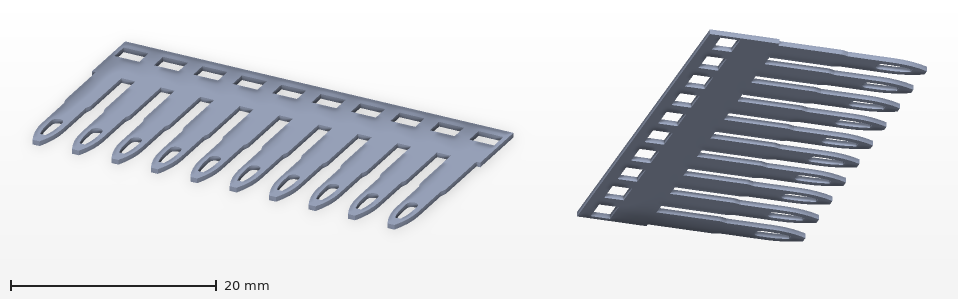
import cadquery as cq

strip_length = 42.4
overall_depth = 22.6
thickness = 0.5
strip_width = 7.1

pin_count = 10
end_margin = 1.82
pitch = (strip_length - 2 * end_margin) / (pin_count - 1)
pin_axes = [end_margin + i * pitch for i in range(pin_count)]

shank_width = 2.8
neck_width = 2.37
tip_width = 0.75
shoulder_start = 13.65
shoulder_end = 14.3
shoulder_radius = 0.85
nose_start = 19.05

eye_width = 1.2
eye_top = 17.5
eye_taper_start = nose_start
eye_bottom = 21.15
eye_bottom_width = 0.6

window_width = 2.7
window_height = 2.0
window_top = 1.25


def taper(outline, top_half_width, top_depth, end_half_width, end_depth):
    """Add both curved sides, tangent to the vertical at the top, and the flat end between them."""
    length = end_depth - top_depth
    inset = top_half_width - end_half_width
    side_radius = (length**2 + inset**2) / (2 * inset)
    return (
        outline.lineTo(-top_half_width, -top_depth)
        .radiusArc((-end_half_width, -end_depth), -side_radius)
        .lineTo(end_half_width, -end_depth)
        .radiusArc((top_half_width, -top_depth), -side_radius)
    )


def make_strip():
    return cq.Workplane("XY").rect(strip_length, -strip_width, centered=False).extrude(thickness)


def make_pin(axis):
    root = strip_width - thickness
    outline = (
        cq.Workplane("XY")
        .moveTo(-shank_width / 2, -root)
        .lineTo(-shank_width / 2, -shoulder_start)
        .lineTo(-neck_width / 2, -shoulder_end)
    )
    outline = taper(outline, neck_width / 2, nose_start, tip_width / 2, overall_depth)
    pin = (
        outline.lineTo(neck_width / 2, -shoulder_end)
        .lineTo(shank_width / 2, -shoulder_start)
        .lineTo(shank_width / 2, -root)
        .close()
        .extrude(thickness)
    )
    shoulder_middle = (shoulder_start + shoulder_end) / 2
    shoulder_corners = cq.selectors.BoxSelector(
        (-strip_length, -shoulder_middle, 0), (strip_length, -strip_width, thickness)
    )
    pin = pin.edges("|Z").edges(shoulder_corners).fillet(shoulder_radius)
    return pin.translate((axis, 0, 0))


def make_eye(axis):
    top_arc_end = eye_top + eye_width / 2
    outline = cq.Workplane("XY", origin=(axis, 0, 0)).moveTo(-eye_width / 2, -top_arc_end)
    outline = taper(outline, eye_width / 2, eye_taper_start, eye_bottom_width / 2, eye_bottom)
    return (
        outline.lineTo(eye_width / 2, -top_arc_end)
        .threePointArc((0, -eye_top), (-eye_width / 2, -top_arc_end))
        .close()
        .extrude(thickness)
    )


def make_window(axis):
    return (
        cq.Workplane("XY", origin=(axis, -window_top - window_height / 2, 0))
        .rect(window_width, window_height)
        .extrude(thickness)
    )


result = make_strip()
for pin_axis in pin_axes:
    result = result.union(make_pin(pin_axis))
for pin_axis in pin_axes:
    result = result.cut(make_eye(pin_axis)).cut(make_window(pin_axis))